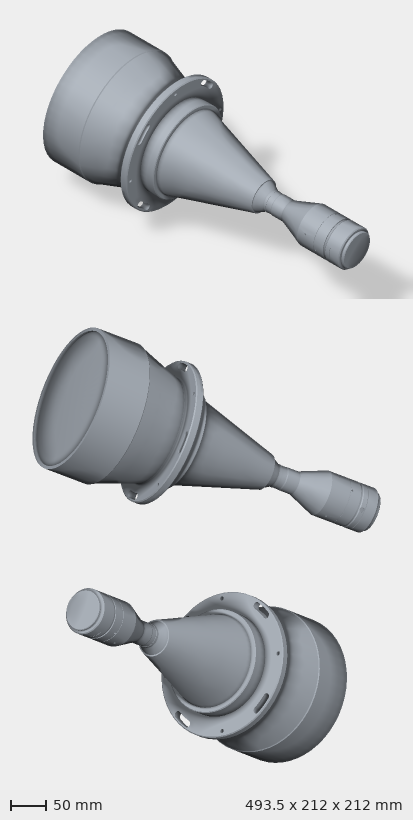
import cadquery as cq
import math


total_length = 493.5
flange_radius = 106.0

barrel_length = 67.0
barrel_edge = 1.25
lens_radius = 101.0
lens_dome_height = 3.5
lens_rim_depth = 4.0

flange_start = 143.0
flange_thickness = 12.5
flange_edge = 1.5
neck_start = 138.5
neck_radius = 80.0
neck_fillet = 2.5
bolt_circle_radius = 97.5
bolt_hole_diameter = 6.0
slot_width = 10.0
slot_sweep = 14.0
flange_fixing_count = 4

hub_end = 179.0
hub_radius = 75.5
hub_edge = 1.25
cone_start_radius = 68.0
cone_end = 320.5
cone_end_radius = 26.5
collar_radius = 24.5

waist_start = 333.5
waist_radius = 17.5
waist_groove_start = 338.0
waist_groove_end = 348.5
waist_groove_depth = 0.5
waist_groove_slope = 1.5
waist_end = 367.5

rear_barrel_start = 410.5
rear_barrel_radius = 33.5
thin_groove_start = 441.0
thin_groove_width = 1.25
thin_groove_depth = 0.5
wide_groove_start = 458.5
wide_groove_end = 461.5
wide_groove_depth = 1.5
clamp_ring_end = 488.0
clamp_ring_edge = 1.5

relief_width = 1.5
relief_radius = 28.0
stud_radius = 29.0
stud_edge = 1.0

set_screw_count = 3
set_screw_depth = 4.0
front_set_screw = (424.0, 3.0, 40.0)
rear_set_screw = (444.0, 3.0, 69.0)

clamp_slit_position = 470.5
clamp_slit_width = 0.75
clamp_slit_depth = 4.0
clamp_slit_start_angle = 157.0
clamp_slit_sweep = 140.0
clamp_screw_depth = 2.0
clamp_screw = (466.0, 7.5, 226.0)

lens_face_radius = (lens_radius**2 + lens_dome_height**2) / (2 * lens_dome_height)
flange_end = flange_start + flange_thickness
thin_groove_end = thin_groove_start + thin_groove_width
relief_end = clamp_ring_end + relief_width


def turned_body():
    """Half profile from the lens face to the stud, revolved about X."""
    waist_floor = waist_radius - waist_groove_depth
    thin_floor = rear_barrel_radius - thin_groove_depth
    wide_floor = rear_barrel_radius - wide_groove_depth
    return (
        cq.Workplane("XZ")
        .moveTo(lens_rim_depth - lens_dome_height, 0)
        .radiusArc((lens_rim_depth, lens_radius), lens_face_radius)
        .lineTo(0, lens_radius)
        .lineTo(0, flange_radius)
        .lineTo(barrel_length - barrel_edge, flange_radius)
        .lineTo(barrel_length, flange_radius - barrel_edge)
        .lineTo(neck_start, neck_radius)
        .lineTo(flange_start - neck_fillet, neck_radius)
        .radiusArc((flange_start, neck_radius + neck_fillet), -neck_fillet)
        .lineTo(flange_start, flange_radius - flange_edge)
        .lineTo(flange_start + flange_edge, flange_radius)
        .lineTo(flange_end - flange_edge, flange_radius)
        .lineTo(flange_end, flange_radius - flange_edge)
        .lineTo(flange_end, hub_radius)
        .lineTo(hub_end - hub_edge, hub_radius)
        .lineTo(hub_end, hub_radius - hub_edge)
        .lineTo(hub_end, cone_start_radius)
        .lineTo(cone_end, cone_end_radius)
        .lineTo(cone_end, collar_radius)
        .lineTo(waist_start, waist_radius)
        .lineTo(waist_groove_start, waist_radius)
        .lineTo(waist_groove_start, waist_floor)
        .lineTo(waist_groove_end - waist_groove_slope, waist_floor)
        .lineTo(waist_groove_end, waist_radius)
        .lineTo(waist_end, waist_radius)
        .lineTo(rear_barrel_start, rear_barrel_radius)
        .lineTo(thin_groove_start, rear_barrel_radius)
        .lineTo(thin_groove_start, thin_floor)
        .lineTo(thin_groove_end, thin_floor)
        .lineTo(thin_groove_end, rear_barrel_radius)
        .lineTo(wide_groove_start, rear_barrel_radius)
        .lineTo(wide_groove_start, wide_floor)
        .lineTo(wide_groove_end, wide_floor)
        .lineTo(wide_groove_end + clamp_ring_edge, rear_barrel_radius)
        .lineTo(clamp_ring_end - clamp_ring_edge, rear_barrel_radius)
        .lineTo(clamp_ring_end, rear_barrel_radius - clamp_ring_edge)
        .lineTo(clamp_ring_end, relief_radius)
        .lineTo(relief_end, relief_radius)
        .lineTo(relief_end, stud_radius)
        .lineTo(total_length - stud_edge, stud_radius)
        .lineTo(total_length, stud_radius - stud_edge)
        .lineTo(total_length, 0)
        .close()
        .revolve(360, (0, 0, 0), (1, 0, 0))
    )


def polar(radius, angle):
    """Point at a radius and an angle in degrees."""
    a = math.radians(angle)
    return (radius * math.cos(a), radius * math.sin(a))


def arc_slot(plane, inner, outer, start, sweep, depth):
    """Curved slot cutter with square ends between two radii."""
    middle = start + sweep / 2
    end = start + sweep
    return (
        plane.moveTo(*polar(inner, start))
        .lineTo(*polar(outer, start))
        .threePointArc(polar(outer, middle), polar(outer, end))
        .lineTo(*polar(inner, end))
        .threePointArc(polar(inner, middle), polar(inner, start))
        .close()
        .extrude(depth)
    )


def flange_fixings():
    """Bolt holes on the Y and Z axes with a round-ended curved slot midway between each pair."""
    face = cq.Workplane("YZ", origin=(flange_start, 0, 0))
    spacing = 360 / flange_fixing_count
    inner = bolt_circle_radius - slot_width / 2
    outer = bolt_circle_radius + slot_width / 2
    cutter = (
        face.polarArray(bolt_circle_radius, 0, 360, flange_fixing_count)
        .circle(bolt_hole_diameter / 2)
        .extrude(flange_thickness)
    )
    for i in range(flange_fixing_count):
        start = (i + 0.5) * spacing - slot_sweep / 2
        ends = [polar(bolt_circle_radius, start), polar(bolt_circle_radius, start + slot_sweep)]
        cutter = cutter.add(arc_slot(face, inner, outer, start, slot_sweep, flange_thickness))
        cutter = cutter.add(face.pushPoints(ends).circle(slot_width / 2).extrude(flange_thickness))
    return cutter.combine()


def radial_hole(position, diameter, angle, depth):
    """Flat-bottomed hole drilled from the rear barrel surface towards the axis."""
    return (
        cq.Workplane("XZ", origin=(position, rear_barrel_radius - depth, 0))
        .circle(diameter / 2)
        .extrude(-2 * depth)
        .rotate((0, 0, 0), (1, 0, 0), angle)
    )


def set_screw_holes(position, diameter, first_angle):
    """Ring of evenly spaced radial holes."""
    holes = cq.Workplane("XY")
    for i in range(set_screw_count):
        angle = first_angle + i * 360 / set_screw_count
        holes = holes.add(radial_hole(position, diameter, angle, set_screw_depth))
    return holes.combine()


def clamp_slit():
    """Narrow slit part of the way round the clamp ring."""
    plane = cq.Workplane("YZ", origin=(clamp_slit_position - clamp_slit_width / 2, 0, 0))
    inner = rear_barrel_radius - clamp_slit_depth
    outer = rear_barrel_radius + clamp_slit_depth
    return arc_slot(plane, inner, outer, clamp_slit_start_angle, clamp_slit_sweep, clamp_slit_width)


result = (
    turned_body()
    .cut(flange_fixings())
    .cut(set_screw_holes(*front_set_screw))
    .cut(set_screw_holes(*rear_set_screw))
    .cut(clamp_slit())
    .cut(radial_hole(*clamp_screw, clamp_screw_depth))
)